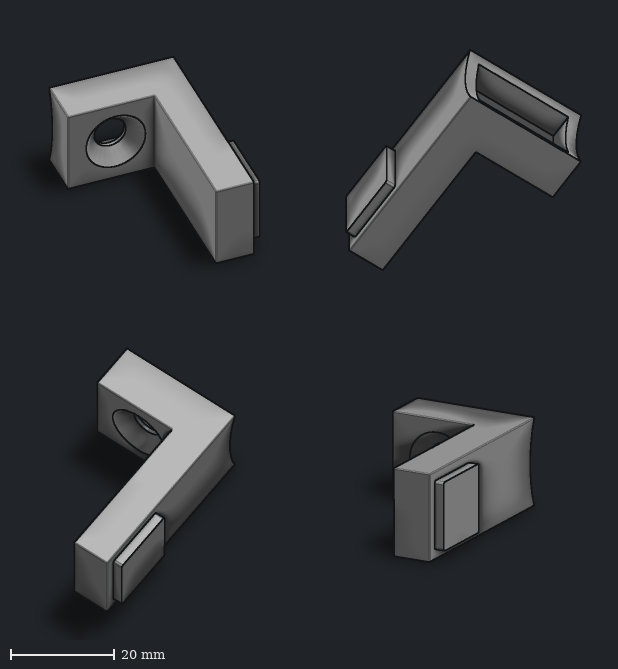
import cadquery as cq
import math

length = 41.75
depth = 26.0
height = 18.0
arm_thickness = 8.0
leg_thickness = 9.75
edge_radius = 0.2

seat_radius = 25.0

pocket_side_wall = 2.55
pocket_end_wall = 2.2
pocket_floor_x = 5.85

hole_diameter = 6.5
hole_y = 10.0
hole_land = 0.9
countersink_diameter = 12.35

pad_size = 14.0
pad_thickness = 2.0
pad_end_gap = 2.05
pad_corner_radius = 0.5

mid_height = height / 2


def make_l_block():
    """L-shaped block with rounded edges everywhere except around the seat end."""
    inner_y = depth - arm_thickness
    block = (
        cq.Workplane("XY")
        .moveTo(0, 0)
        .lineTo(leg_thickness, 0)
        .lineTo(leg_thickness, inner_y)
        .lineTo(length, inner_y)
        .lineTo(length, depth)
        .lineTo(0, depth)
        .close()
        .extrude(height)
    )
    return block.edges("not(<X)").fillet(edge_radius)


def make_seat_cutter():
    """Cylinder along Y whose surface meets the top and bottom corners of the leg."""
    axis_x = -math.sqrt(seat_radius**2 - mid_height**2)
    return (
        cq.Workplane("XZ")
        .center(axis_x, mid_height)
        .circle(seat_radius)
        .extrude(-depth)
    )


def make_pocket_cutter():
    return cq.Workplane("XY").box(
        pocket_floor_x,
        depth - 2 * pocket_side_wall,
        height - 2 * pocket_end_wall,
        centered=False,
    ).translate((0, pocket_side_wall, pocket_end_wall))


def make_hole_cutter():
    """Through hole with a countersink opening on the inner face of the leg."""
    countersink_x = pocket_floor_x + hole_land
    hole = (
        cq.Workplane("YZ", origin=(pocket_floor_x, hole_y, mid_height))
        .circle(hole_diameter / 2)
        .extrude(leg_thickness - pocket_floor_x)
    )
    countersink = (
        cq.Workplane("YZ", origin=(countersink_x, hole_y, mid_height))
        .circle(hole_diameter / 2)
        .workplane(offset=leg_thickness - countersink_x)
        .circle(countersink_diameter / 2)
        .loft(ruled=True)
    )
    return hole.union(countersink)


def make_bracket():
    return (
        make_l_block()
        .cut(make_seat_cutter())
        .cut(make_pocket_cutter())
        .cut(make_hole_cutter())
    )


def make_pad():
    """Square pad with rounded corners, resting on the +Y face of the arm."""
    pad_x = length - pad_end_gap - pad_size / 2
    return (
        cq.Workplane("XZ", origin=(pad_x, depth, mid_height))
        .rect(pad_size, pad_size)
        .extrude(-pad_thickness)
        .edges("|Y")
        .fillet(pad_corner_radius)
    )


bracket = make_bracket()
pad = make_pad()
result = cq.Compound.makeCompound([bracket.val(), pad.val()])